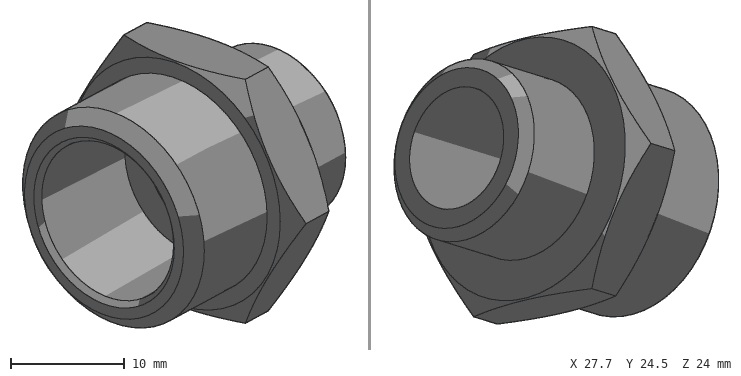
import cadquery as cq
import math

across_corners = 27.7
collar_length = 5.5
collar_face_radius = 11.85
collar_chamfer_angle = 30.0

large_radius = 10.35
large_length = 10.0
large_chamfer = 1.3

small_radius = 8.23
small_length = 9.0
small_chamfer = 1.0

through_radius = 5.51
counterbore_radius = 7.5
counterbore_depth = 12.0
mouth_chamfer = 0.5
drill_tip_angle = 135.0

front_end = -large_length
collar_back = collar_length
back_end = collar_back + small_length


def revolve_profile(points):
    """Revolve a closed (radius, y) outline about the Y axis."""
    return cq.Workplane("XY").polyline(points).close().revolve(360, (0, 0, 0), (0, 1, 0))


def make_collar():
    """Hexagon with a corner on the X axis and conically chamfered corners."""
    hexagon = cq.Workplane("XZ").polygon(6, across_corners).extrude(-collar_length)
    corner_radius = across_corners / 2
    chamfer_drop = (corner_radius - collar_face_radius) * math.tan(math.radians(collar_chamfer_angle))
    envelope = revolve_profile([
        (0, 0),
        (collar_face_radius, 0),
        (corner_radius, chamfer_drop),
        (corner_radius, collar_back - chamfer_drop),
        (collar_face_radius, collar_back),
        (0, collar_back),
    ])
    return hexagon.intersect(envelope)


def make_spigots():
    """Both chamfered spigots, meeting inside the collar."""
    collar_middle = collar_length / 2
    return revolve_profile([
        (0, front_end),
        (large_radius - large_chamfer, front_end),
        (large_radius, front_end + large_chamfer),
        (large_radius, collar_middle),
        (small_radius, collar_middle),
        (small_radius, back_end - small_chamfer),
        (small_radius - small_chamfer, back_end),
        (0, back_end),
    ])


def make_bore():
    """Chamfered counterbore with a conical floor, then a plain through hole."""
    cone_length = (counterbore_radius - through_radius) / math.tan(math.radians(drill_tip_angle / 2))
    cone_start = front_end + counterbore_depth
    return revolve_profile([
        (0, front_end),
        (counterbore_radius + mouth_chamfer, front_end),
        (counterbore_radius, front_end + mouth_chamfer),
        (counterbore_radius, cone_start),
        (through_radius, cone_start + cone_length),
        (through_radius, back_end),
        (0, back_end),
    ])


result = make_collar().union(make_spigots()).cut(make_bore())